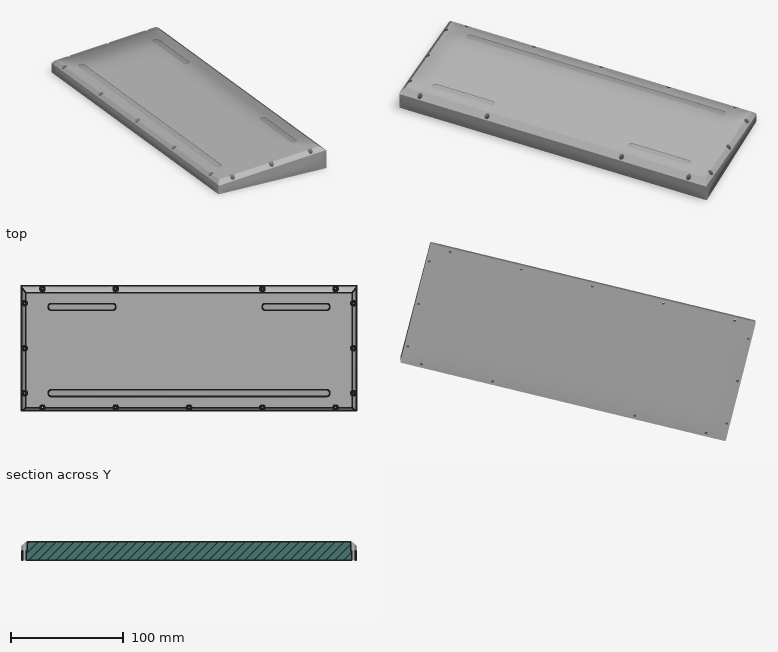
import cadquery as cq
import math

length = 297.8
width = 111.5
height = 21.0
corner_radius = 1.0

slope_angle = 4.9
front_bevel_run = 2.83
front_bevel_drop = 3.3
rear_bevel_run = 6.3
rear_bevel_drop = 4.5
side_bevel = 4.0

screw_span_x = 260.2
screw_pitch_x = screw_span_x / 4
screw_pitch_y = 40.0
screw_inset = 3.0
screw_hole_diameter = 2.5
counterbore_diameter = 4.5
counterbore_floor_z = 9.0

recess_width = 6.0
recess_depth = 0.5
recess_end_x = 125.0
rear_recess_length = 60.0
rear_recess_y = 36.5
front_recess_y = -screw_pitch_y

slope = math.tan(math.radians(slope_angle))
front_y = -width / 2
rear_y = width / 2
top_front_y = front_y + front_bevel_run
top_rear_y = rear_y - rear_bevel_run


def top_z(y):
    """Height of the sloping top plane at a given y."""
    return height - slope * (top_rear_y - y)


def wedge_body():
    profile = [
        (front_y, 0),
        (rear_y, 0),
        (rear_y, height - rear_bevel_drop),
        (top_rear_y, height),
        (top_front_y, top_z(top_front_y)),
        (front_y, top_z(top_front_y) - front_bevel_drop),
    ]
    wedge = cq.Workplane("YZ").polyline(profile).close().extrude(length / 2, both=True)
    return wedge.edges("|Z").fillet(corner_radius)


def tilted_plane():
    """Plane lying on the sloping top face, below which the body is."""
    return cq.Plane(
        origin=(0, 0, top_z(0)),
        xDir=(1, 0, 0),
        normal=(0, -slope, 1),
    )


def side_bevel_cutter(side):
    """Triangular bar along the top edge of one end (side is -1 or 1)."""
    end_plane = cq.Plane(
        origin=(0, 0, top_z(0)),
        xDir=(1, 0, 0),
        normal=(0, 1, slope),
    )
    edge_x = side * length / 2
    triangle = [
        (edge_x - 2 * side * side_bevel, -side_bevel),
        (edge_x + side * side_bevel, -side_bevel),
        (edge_x + side * side_bevel, 2 * side_bevel),
    ]
    return cq.Workplane(end_plane).polyline(triangle).close().extrude(width, both=True)


def recess_cutter(center_x, center_y, recess_length):
    along_slope = center_y / math.cos(math.radians(slope_angle))
    return (
        cq.Workplane(tilted_plane())
        .center(center_x, along_slope)
        .slot2D(recess_length, recess_width)
        .extrude(-recess_depth)
    )


def screw_positions():
    """Centres of the screw holes around the rim; the rear row has none in the middle."""
    row_y = rear_y - screw_inset
    row_x = length / 2 - screw_inset
    front_row = [(i * screw_pitch_x, -row_y) for i in (-2, -1, 0, 1, 2)]
    rear_row = [(i * screw_pitch_x, row_y) for i in (-2, -1, 1, 2)]
    ends = [(side * row_x, i * screw_pitch_y) for side in (-1, 1) for i in (-1, 0, 1)]
    return front_row + rear_row + ends


def screw_cutter(x, y):
    hole = cq.Workplane("XY").center(x, y).circle(screw_hole_diameter / 2).extrude(height)
    head = (
        cq.Workplane("XY", origin=(x, y, counterbore_floor_z))
        .circle(counterbore_diameter / 2)
        .extrude(height)
    )
    return hole.union(head)


body = wedge_body()
for side in (-1, 1):
    body = body.cut(side_bevel_cutter(side))

rear_recess_x = recess_end_x - rear_recess_length / 2
for side in (-1, 1):
    body = body.cut(recess_cutter(side * rear_recess_x, rear_recess_y, rear_recess_length))
body = body.cut(recess_cutter(0, front_recess_y, 2 * recess_end_x))

for x, y in screw_positions():
    body = body.cut(screw_cutter(x, y))

result = body